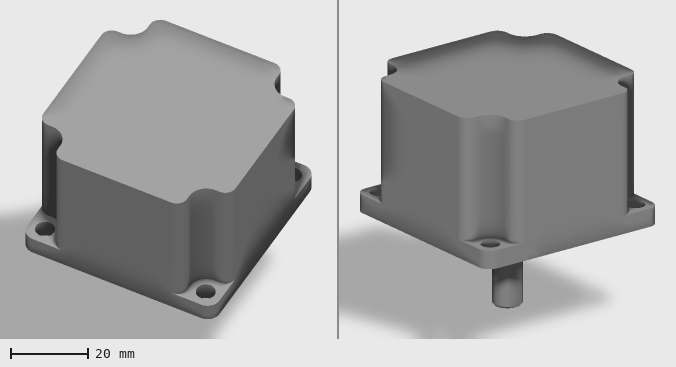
import cadquery as cq

width = 56.4
total_height = 63.0
body_height = 39.0
flange_thickness = 5.05
flange_corner_radius = 3.45

recess_side = 9.25
recess_inner_radius = 5.0
recess_edge_radius = 3.0

hole_spacing = 47.1
hole_diameter = 5.15

pilot_diameter = 38.1
pilot_height = 1.65
shaft_diameter = 8.0
shaft_chamfer = 0.55
flat_offset = 3.4
flat_gap = 2.3

shaft_end = body_height - total_height
flat_top = -pilot_height - flat_gap


def make_flange():
    return (
        cq.Workplane("XY")
        .rect(width, width)
        .extrude(flange_thickness)
        .edges("|Z")
        .fillet(flange_corner_radius)
    )


def make_housing():
    """Square block with a rounded recess at each vertical corner."""
    recess_centers = [(x, y) for x in (-width / 2, width / 2) for y in (-width / 2, width / 2)]
    housing = cq.Workplane("XY").rect(width, width).extrude(body_height)
    recesses = (
        cq.Workplane("XY")
        .pushPoints(recess_centers)
        .rect(2 * recess_side, 2 * recess_side)
        .extrude(body_height)
        .edges("|Z")
        .fillet(recess_inner_radius)
    )
    housing = housing.cut(recesses)
    rim = width / 2 - recess_side
    for side in (-width / 2, width / 2):
        for end in (-rim, rim):
            for x, y in ((side, end), (end, side)):
                edge = cq.selectors.NearestToPointSelector((x, y, body_height / 2))
                housing = housing.edges(edge).fillet(recess_edge_radius)
    return housing


def make_shaft():
    """Round shaft with a chamfered end and a flat facing +Y."""
    shaft = (
        cq.Workplane("XY")
        .circle(shaft_diameter / 2)
        .extrude(shaft_end)
        .faces("<Z")
        .chamfer(shaft_chamfer)
    )
    flat_cutter = (
        cq.Workplane("XY", origin=(0, flat_offset, shaft_end))
        .box(shaft_diameter, shaft_diameter, flat_top - shaft_end, centered=(True, False, False))
    )
    return shaft.cut(flat_cutter)


pilot = cq.Workplane("XY").circle(pilot_diameter / 2).extrude(-pilot_height)
mounting_holes = (
    cq.Workplane("XY")
    .rect(hole_spacing, hole_spacing, forConstruction=True)
    .vertices()
    .circle(hole_diameter / 2)
    .extrude(flange_thickness)
)

result = make_flange().union(make_housing()).union(pilot).union(make_shaft()).cut(mounting_holes)